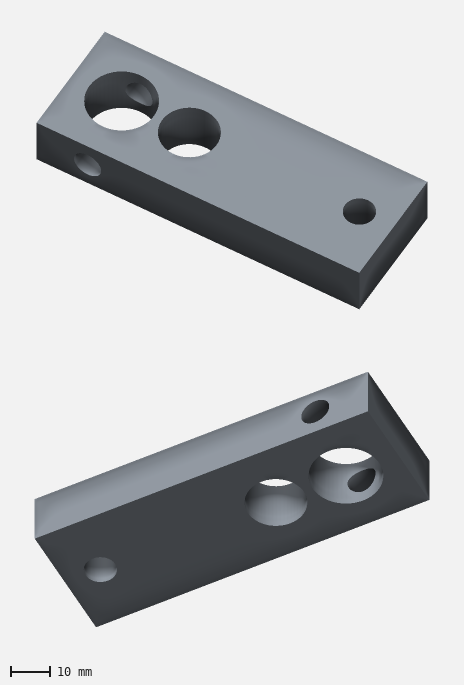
import cadquery as cq

length = 95.0
width = 34.0
height = 15.0

large_bore_diameter = 19.0
large_bore_x = 15.0
medium_bore_diameter = 16.0
medium_bore_x = 35.0
small_hole_diameter = 8.5
small_hole_x = 85.0

cross_hole_diameter = 8.0
cross_hole_x = large_bore_x


def vertical_hole(x, diameter):
    """Cylinder along Z through the full height, centred across the width."""
    return cq.Workplane("XY").center(x, width / 2).circle(diameter / 2).extrude(height)


def cross_hole():
    """Cylinder along Y through the full width, at mid-height."""
    profile = cq.Workplane("XZ").center(cross_hole_x, height / 2).circle(cross_hole_diameter / 2)
    return profile.extrude(-width)


result = cq.Workplane("XY").box(length, width, height, centered=False)

for hole_x, hole_diameter in [
    (large_bore_x, large_bore_diameter),
    (medium_bore_x, medium_bore_diameter),
    (small_hole_x, small_hole_diameter),
]:
    result = result.cut(vertical_hole(hole_x, hole_diameter))

result = result.cut(cross_hole())